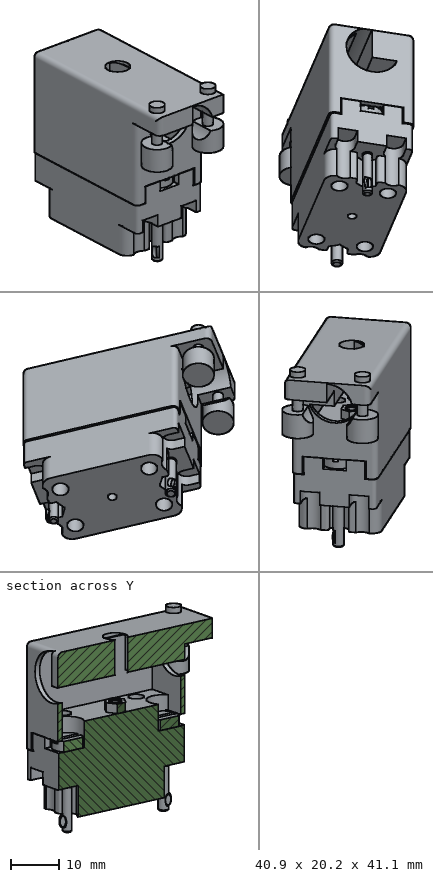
import cadquery as cq
import math

hex_half_angle = math.radians(30)


body_half_x = 16.8
body_half_y = 9.1
flange_end_x = 24.05
housing_bottom = 16.73
flange_bottom = 35.5
housing_top = 39.83
edge_radius = 1.25
wall_x = 1.25
roof = 1.25
cavity_half_y = 7.35
top_hole_radius = 2.6

bore_radius = 5.55
bore_z = 34.05
quarter_bottom = 32.2

window_half_y = 6.75
window_top = 20.55

base_half_x = 16.65
base_half_y = 8.75
base_radius = 0.82
shoulder_z = 16.55
step_z = 10.1
base_bottom = 3.33
neck_top = 23.85
tongue_half_y = 6.45

block_half_x = 13.0
block_radius = 2.25

groove_radius = 2.05
groove_x = 14.45
groove_y = 5.18
groove_top = 12.85
wire_hole_radius = 1.7
wire_hole_x = 9.6

recess_half_width = 2.1
recess_mouth_radius = 0.58

screw_x = 12.7
screw_radii = {-1: 1.0, 1: 1.15}
tip_chamfer = 0.33
collar_z = 9.75
collar_step = 0.05
screw_head_radius = 3.25
screw_head_bottom = 18.13
screw_head_top = 20.43
head_slot_width = 1.1
head_slot_depth = 0.75
head_pocket_radius = 3.55
head_window_half_y = 2.45

lug_z = 2.3
lug_half_width = 0.58
lug_half_height = 1.25
lug_offset = 0.95
lug_turn = 30.0
lug_face = 0.33
lug_length = 0.5
lug_pocket_depth = 1.0
lug_flare = 0.15

knob_radius = 3.25
knob_bottom = 27.1
knob_top = 32.25
thumb_x = flange_end_x - knob_radius
thumb_y = 6.85
thumb_stem_radius = 1.1
thumb_head_radius = 1.6
overall_top = 41.1

nut_flats = 4.03
nut_height = 2.05
nut_bore_radius = 1.05
nut_chamfer = 0.25
center_hole_radius = 0.9


def block(x0, x1, half_y, z0, z1):
    """Box from x0 to x1 and z0 to z1, centred on Y."""
    box = cq.Workplane("XY").box(x1 - x0, 2 * half_y, z1 - z0, centered=(False, True, False))
    return box.translate((x0, 0, z0))


def rod(x, y, radius, z0, z1):
    """Vertical cylinder."""
    return cq.Workplane("XY", origin=(x, y, z0)).circle(radius).extrude(z1 - z0)


def make_cap():
    """Top plate of the housing with the flange; its end edge on +X stays sharp at the top."""
    plate = block(-body_half_x, flange_end_x, body_half_y, flange_bottom, housing_top)
    outline = plate.edges("|Z").fillet(edge_radius)
    rounded = plate.edges("|Z and <X").fillet(edge_radius)
    rounded = rounded.faces(">Z").edges("not >X").fillet(edge_radius)
    return rounded.intersect(outline)


def make_cable_bore():
    """Bore along the whole length, over the housing and the flange."""
    length = body_half_x + flange_end_x
    return cq.Workplane("YZ", origin=(-body_half_x, 0, bore_z)).circle(bore_radius).extrude(length)


def make_housing():
    """Hollow shell, open at the bottom, with a flange for the thumbscrews."""
    main = block(-body_half_x, body_half_x, body_half_y, housing_bottom, flange_bottom)
    main = main.edges("|Z").fillet(edge_radius)
    shell = main.union(make_cap())
    inner_x = body_half_x - wall_x
    hollow = block(-inner_x, inner_x, cavity_half_y, housing_bottom, housing_top - roof)
    hollow = hollow.union(make_cable_bore())
    solid_quarter = cq.Workplane("XY").box(
        2 * flange_end_x, body_half_y, housing_top - quarter_bottom, centered=(True, False, False)
    )
    hollow = hollow.cut(solid_quarter.translate((0, -body_half_y, quarter_bottom)))
    shell = shell.cut(hollow)
    shell = shell.cut(block(-body_half_x, body_half_x, window_half_y, housing_bottom, window_top))
    shell = shell.cut(rod(0, 0, top_hole_radius, neck_top, housing_top))
    for side in (-1, 1):
        shell = shell.cut(rod(thumb_x, side * thumb_y, thumb_stem_radius, flange_bottom, housing_top))
    return shell


def make_groove(side_x, side_y):
    """Round-ended groove open to the end of the base."""
    height = groove_top - base_bottom
    groove = rod(groove_x, groove_y, groove_radius, base_bottom, groove_top)
    mouth = cq.Workplane("XY").box(
        base_half_x - groove_x, 2 * groove_radius, height, centered=(False, True, False)
    )
    groove = groove.union(mouth.translate((groove_x, groove_y, base_bottom)))
    if side_x < 0:
        groove = groove.mirror("YZ")
    if side_y < 0:
        groove = groove.mirror("XZ")
    return groove


def make_recess():
    """Recess on the +X end: half a hexagon inside, flaring with round lips at the end face."""
    corner_x = screw_x - recess_half_width * math.tan(hex_half_angle)
    apex_x = screw_x - recess_half_width / math.cos(hex_half_angle)
    lip_x = block_half_x - recess_mouth_radius
    lip_y = recess_half_width + recess_mouth_radius
    lip_mid = recess_mouth_radius * math.sqrt(0.5)
    return (
        cq.Workplane("XY", origin=(0, 0, base_bottom))
        .moveTo(apex_x, 0)
        .lineTo(corner_x, recess_half_width)
        .lineTo(lip_x, recess_half_width)
        .threePointArc((lip_x + lip_mid, lip_y - lip_mid), (block_half_x, lip_y))
        .lineTo(block_half_x, -lip_y)
        .threePointArc((lip_x + lip_mid, lip_mid - lip_y), (lip_x, -recess_half_width))
        .lineTo(corner_x, -recess_half_width)
        .close()
        .extrude(step_z - base_bottom)
    )


def make_base():
    """Insert with a neck inside the housing, a tongue in each end window and a narrow lower block."""
    base = block(-base_half_x, base_half_x, base_half_y, step_z, shoulder_z).edges("|Z").fillet(base_radius)
    lower = block(-block_half_x, block_half_x, base_half_y, base_bottom, step_z)
    base = base.union(lower.edges("|Z").fillet(block_radius))
    neck_half_x = body_half_x - wall_x
    base = base.union(block(-neck_half_x, neck_half_x, cavity_half_y, shoulder_z, neck_top))
    base = base.union(block(-base_half_x, base_half_x, tongue_half_y, shoulder_z, window_top))
    base = base.cut(rod(0, 0, center_hole_radius, base_bottom, neck_top))
    for side_x, shank_radius in screw_radii.items():
        recess = make_recess()
        base = base.cut(recess if side_x > 0 else recess.mirror("YZ"))
        x = side_x * screw_x
        base = base.cut(rod(x, 0, shank_radius + collar_step, base_bottom, neck_top))
        base = base.cut(rod(x, 0, head_pocket_radius, screw_head_bottom, neck_top))
        ends = sorted((x, side_x * base_half_x))
        base = base.cut(block(ends[0], ends[1], head_window_half_y, screw_head_bottom, window_top))
        for side_y in (-1, 1):
            base = base.cut(make_groove(side_x, side_y))
            wire_x = side_x * wire_hole_x
            wire_y = side_y * groove_y
            base = base.cut(rod(wire_x, wire_y, wire_hole_radius, base_bottom, neck_top))
    return base


def flared_ellipse(growth, length):
    """Elliptical plug starting at the lug face and widening towards -Y, or +Y for a negative length."""
    return (
        cq.Workplane("XZ")
        .ellipse(lug_half_width, lug_half_height)
        .workplane(offset=length)
        .ellipse(lug_half_width + growth, lug_half_height + growth)
        .loft()
    )


def place_lug(plug, side_x):
    """Move a plug beside the shank axis and turn its face from -Y towards -X."""
    plug = plug.translate((side_x * lug_offset, -lug_face, lug_z))
    return plug.rotate((0, 0, 0), (0, 0, 1), -lug_turn)


def make_locking_screw(side_x, shank_radius):
    """Slotted screw; the lug stands out on one side of its tip and is sunk in a pocket on the other."""
    tip = rod(0, 0, shank_radius, 0, collar_z).faces("<Z").chamfer(tip_chamfer)
    shank = rod(0, 0, shank_radius + collar_step, collar_z, screw_head_bottom)
    head = rod(0, 0, screw_head_radius, screw_head_bottom, screw_head_top)
    slot = cq.Workplane("XY").box(2 * screw_head_radius, head_slot_width, 2 * head_slot_depth)
    head = head.cut(slot.translate((0, 0, screw_head_top)))
    pocket = place_lug(flared_ellipse(lug_flare, lug_pocket_depth), side_x)
    stud = place_lug(flared_ellipse(lug_flare, -lug_length), side_x)
    screw = tip.cut(pocket).union(stud).union(shank).union(head)
    return screw.translate((side_x * screw_x, 0, 0))


def make_thumbscrew(side_y):
    """Screw with a head on the flange and a knob below it, relieved where the cable bore passes."""
    y = side_y * thumb_y
    knob = rod(thumb_x, y, knob_radius, knob_bottom, knob_top)
    stem = rod(thumb_x, y, thumb_stem_radius, knob_top, housing_top)
    head = rod(thumb_x, y, thumb_head_radius, housing_top, overall_top)
    knob = knob.cut(make_cable_bore())
    return knob.union(stem).union(head)


def make_nut():
    """Hexagonal nut with a chamfered bore, resting on top of the base neck."""
    across_corners = nut_flats / math.cos(hex_half_angle)
    nut = cq.Workplane("XY", origin=(0, 0, neck_top)).polygon(6, across_corners).extrude(nut_height)
    nut = nut.cut(rod(0, 0, nut_bore_radius, neck_top, neck_top + nut_height))
    return nut.faces(">Z").edges("%CIRCLE").chamfer(nut_chamfer)


housing = make_housing()
base = make_base()
nut = make_nut()
locking_screws = [make_locking_screw(side, radius) for side, radius in screw_radii.items()]
thumbscrews = [make_thumbscrew(side) for side in (-1, 1)]

result = cq.Compound.makeCompound(
    [
        housing.val(),
        base.val(),
        nut.val(),
        *[screw.val() for screw in locking_screws],
        *[screw.val() for screw in thumbscrews],
    ]
)